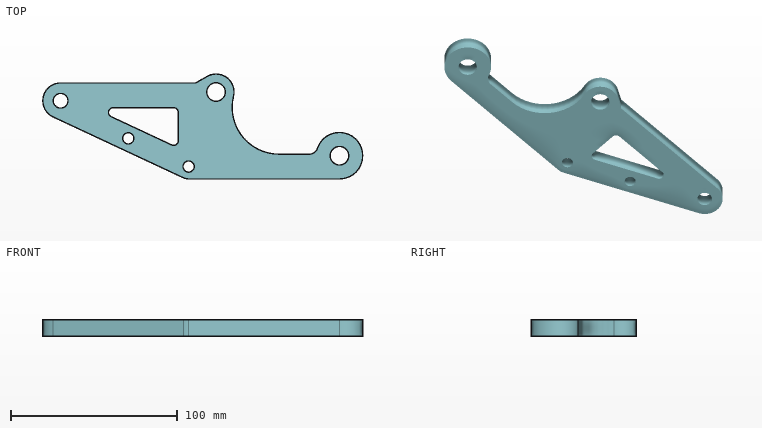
import cadquery as cq
import math

thickness = 10.0
band_width = 15.0

left_eye_radius = 10.75
left_hole_diameter = 8.7

upper_eye = (93.3, 5.25)
upper_eye_radius = 10.85
large_hole_diameter = 11.0
upper_ramp_angle = math.radians(30)

right_eye_radius = 14.0
right_eye = (167.38, -32.99)
arm_fillet_radius = 5.0

notch_radius = 28.0

small_hole_diameter = 6.6
small_hole_pitch = 40.0
lower_hole_x = 76.85

window_right_x = 70.6
window_corner_radius = 2.75

top_y = left_eye_radius
bottom_y = right_eye[1] - right_eye_radius
arm_top_y = bottom_y + band_width

corner_radius = band_width / 2
lower_hole = (lower_hole_x, bottom_y + corner_radius)
slope_angle = math.atan2(-lower_hole[1], lower_hole[0]) - math.asin(
    (left_eye_radius - corner_radius) / math.hypot(*lower_hole)
)
upper_hole = (
    lower_hole[0] - small_hole_pitch * math.cos(slope_angle),
    lower_hole[1] + small_hole_pitch * math.sin(slope_angle),
)


def on_circle(center, radius, angle):
    """Point on a circle at an angle in radians, counterclockwise from +X."""
    return (center[0] + radius * math.cos(angle), center[1] + radius * math.sin(angle))


def direction(start, end):
    """Angle in radians of the line from start to end."""
    return math.atan2(end[1] - start[1], end[0] - start[0])


def make_plate():
    """Outer profile, drawn clockwise from the top of the left eye."""
    left_eye = (0, 0)
    slope_normal = -math.pi / 2 - slope_angle

    ramp_end = on_circle(upper_eye, upper_eye_radius, math.pi / 2 + upper_ramp_angle)
    ramp_start = (ramp_end[0] - (ramp_end[1] - top_y) / math.tan(upper_ramp_angle), top_y)

    notch_center_y = arm_top_y + notch_radius
    notch_reach = math.sqrt((upper_eye_radius + notch_radius) ** 2 - (upper_eye[1] - notch_center_y) ** 2)
    notch_center = (upper_eye[0] + notch_reach, notch_center_y)
    notch_start_angle = direction(notch_center, upper_eye)
    notch_start = on_circle(notch_center, notch_radius, notch_start_angle)
    notch_end = (notch_center[0], arm_top_y)
    notch_middle_angle = (notch_start_angle + 1.5 * math.pi) / 2

    fillet_center_y = arm_top_y + arm_fillet_radius
    fillet_reach = math.sqrt(
        (right_eye_radius + arm_fillet_radius) ** 2 - (fillet_center_y - right_eye[1]) ** 2
    )
    fillet_center = (right_eye[0] - fillet_reach, fillet_center_y)
    fillet_end_angle = direction(fillet_center, right_eye)
    fillet_end = on_circle(fillet_center, arm_fillet_radius, fillet_end_angle)
    fillet_middle_angle = (fillet_end_angle - math.pi / 2) / 2

    return (
        cq.Workplane("XY")
        .moveTo(0, top_y)
        .lineTo(*ramp_start)
        .lineTo(*ramp_end)
        .threePointArc(on_circle(upper_eye, upper_eye_radius, math.pi / 4), notch_start)
        .threePointArc(on_circle(notch_center, notch_radius, notch_middle_angle), notch_end)
        .lineTo(fillet_center[0], arm_top_y)
        .threePointArc(on_circle(fillet_center, arm_fillet_radius, fillet_middle_angle), fillet_end)
        .threePointArc(on_circle(right_eye, right_eye_radius, 0), (right_eye[0], bottom_y))
        .lineTo(lower_hole[0], bottom_y)
        .threePointArc(
            on_circle(lower_hole, corner_radius, -math.pi / 2 - slope_angle / 2),
            on_circle(lower_hole, corner_radius, slope_normal),
        )
        .lineTo(*on_circle(left_eye, left_eye_radius, slope_normal))
        .threePointArc(on_circle(left_eye, left_eye_radius, math.pi), (0, top_y))
        .close()
        .extrude(thickness)
    )


def make_window():
    """Triangular cutter set one band width in from the top and sloped edges."""
    window_top_y = top_y - band_width
    slope_height = (band_width - left_eye_radius) / math.cos(slope_angle)
    left_x = (slope_height - window_top_y) / math.tan(slope_angle)
    lower_y = slope_height - window_right_x * math.tan(slope_angle)
    return (
        cq.Workplane("XY")
        .polyline([(left_x, window_top_y), (window_right_x, window_top_y), (window_right_x, lower_y)])
        .close()
        .extrude(thickness)
        .edges("|Z")
        .fillet(window_corner_radius)
    )


def cut_hole(body, center, diameter):
    """Cut a round hole straight through the plate."""
    return body.cut(cq.Workplane("XY").center(*center).circle(diameter / 2).extrude(thickness))


result = make_plate().cut(make_window())
result = cut_hole(result, (0, 0), left_hole_diameter)
for eye in (upper_eye, right_eye):
    result = cut_hole(result, eye, large_hole_diameter)
for hole in (upper_hole, lower_hole):
    result = cut_hole(result, hole, small_hole_diameter)